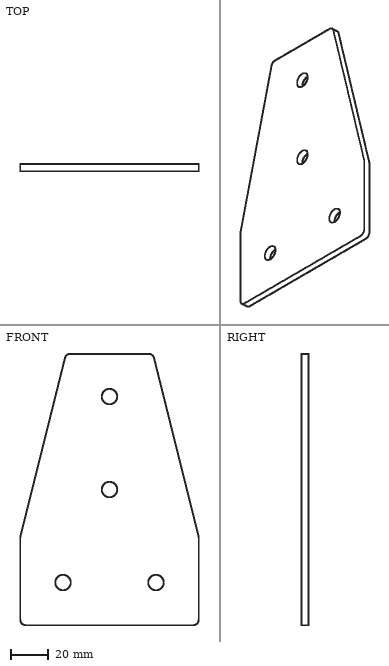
import cadquery as cq

WIDTH = 96.0
HEIGHT = 146.0
THICKNESS = 4.0

FOOT_HEIGHT = 47.7
TOP_WIDTH = 46.9
CORNER_RADIUS = 3.0

HOLE_DIAMETER = 8.2
HOLE_PITCH = 50.0

HALF_WIDTH = WIDTH / 2
HALF_HEIGHT = HEIGHT / 2
HALF_TOP = TOP_WIDTH / 2
SHOULDER_Z = FOOT_HEIGHT - HALF_HEIGHT


def plate_blank():
    """Plate centred on the origin, thickness along Y, with all six corners rounded."""
    outline = [
        (-HALF_WIDTH, -HALF_HEIGHT),
        (HALF_WIDTH, -HALF_HEIGHT),
        (HALF_WIDTH, SHOULDER_Z),
        (HALF_TOP, HALF_HEIGHT),
        (-HALF_TOP, HALF_HEIGHT),
        (-HALF_WIDTH, SHOULDER_Z),
    ]
    plate = cq.Workplane("XZ").polyline(outline).close().extrude(THICKNESS / 2, both=True)
    return plate.edges("|Y").fillet(CORNER_RADIUS)


def drill_holes(plate):
    """Two holes across the foot and two up the centre line, right through the plate."""
    centres = [
        (-HOLE_PITCH / 2, -HOLE_PITCH),
        (HOLE_PITCH / 2, -HOLE_PITCH),
        (0, 0),
        (0, HOLE_PITCH),
    ]
    front_face = plate.faces("<Y").workplane(origin=(0, 0, 0))
    return front_face.pushPoints(centres).hole(HOLE_DIAMETER)


result = drill_holes(plate_blank())